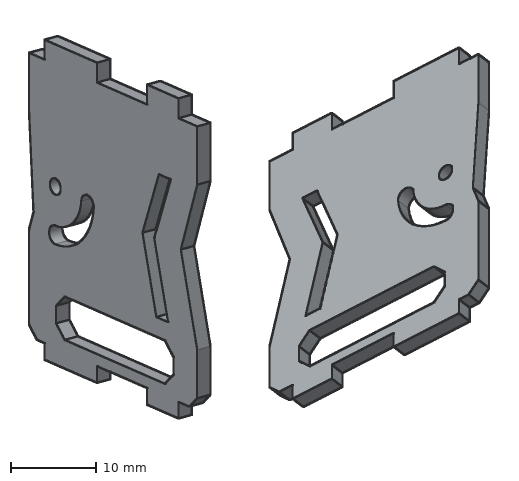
import cadquery as cq
import math

width = 31.7
height = 40.1
thickness = 2.0

top_tab_height = 2.5
bottom_tab_height = 2.1
body_top = height - top_tab_height
body_bottom = bottom_tab_height
corner_chamfer = 1.5

tabs = [(2.93, 9.9), (22.22, 5.95)]

right_notch_top = 30.32
right_notch_depth = 3.1
notch_tip = 21.3
right_notch_bottom = 9.63

left_notch_top = right_notch_top
left_notch_depth = 0.85
left_notch_tip = 17.9
left_notch_bottom = 15.5

chevron_top = 29.52
chevron_bottom = 11.5
chevron_width = 2.2
chevron_top_left = 24.45
chevron_bend_left = 21.38
chevron_bottom_left = 24.0

window_left = 5.15
window_bottom = 3.6
window_length = 22.05
window_height = 5.4
window_chamfer = 1.6

pivot_x = 4.97
pivot_z = 22.3
pivot_diameter = 2.0
arc_radius = 6.05
arc_slot_width = 2.33
arc_start_angle = -90.0
arc_end_angle = -4.6


def extrude_outline(points):
    """Closed polygon in XZ, extruded from the front face through the thickness."""
    return cq.Workplane("XZ").polyline(points).close().extrude(-thickness)


def make_body():
    return extrude_outline([
        (corner_chamfer, body_bottom),
        (width - corner_chamfer, body_bottom),
        (width, body_bottom + corner_chamfer),
        (width, right_notch_bottom),
        (width - right_notch_depth, notch_tip),
        (width, right_notch_top),
        (width, body_top),
        (0, body_top),
        (0, left_notch_top),
        (left_notch_depth, left_notch_tip),
        (0, left_notch_bottom),
        (0, body_bottom + corner_chamfer),
    ])


def make_tab_bar(left, length):
    """Full-height bar whose ends stand out as the top and bottom tabs."""
    return cq.Workplane("XY").box(length, thickness, height, centered=False).translate((left, 0, 0))


def make_chevron():
    left_side = [
        (chevron_bottom_left, chevron_bottom),
        (chevron_bend_left, notch_tip),
        (chevron_top_left, chevron_top),
    ]
    right_side = [(x + chevron_width, z) for x, z in reversed(left_side)]
    return extrude_outline(left_side + right_side)


def make_window():
    window = cq.Workplane("XY").box(window_length, thickness, window_height, centered=False)
    window = window.edges("|Y").chamfer(window_chamfer)
    return window.translate((window_left, 0, window_bottom))


def make_pivot_hole():
    return cq.Workplane("XZ").center(pivot_x, pivot_z).circle(pivot_diameter / 2).extrude(-thickness)


def make_arc_slot():
    def polar(radius, angle):
        turn = math.radians(angle)
        return (radius * math.cos(turn), radius * math.sin(turn))

    half_width = arc_slot_width / 2
    inner = arc_radius - half_width
    outer = arc_radius + half_width
    middle_angle = (arc_start_angle + arc_end_angle) / 2
    cap_angle = 2 * math.degrees(math.asin(half_width / (2 * arc_radius)))
    return (
        cq.Workplane("XZ").center(pivot_x, pivot_z)
        .moveTo(*polar(inner, arc_start_angle))
        .threePointArc(polar(inner, middle_angle), polar(inner, arc_end_angle))
        .threePointArc(polar(arc_radius, arc_end_angle + cap_angle), polar(outer, arc_end_angle))
        .threePointArc(polar(outer, middle_angle), polar(outer, arc_start_angle))
        .threePointArc(polar(arc_radius, arc_start_angle - cap_angle), polar(inner, arc_start_angle))
        .close()
        .extrude(-thickness)
    )


result = make_body()
for tab_left, tab_length in tabs:
    result = result.union(make_tab_bar(tab_left, tab_length))
for opening in (make_chevron(), make_window(), make_pivot_hole(), make_arc_slot()):
    result = result.cut(opening)